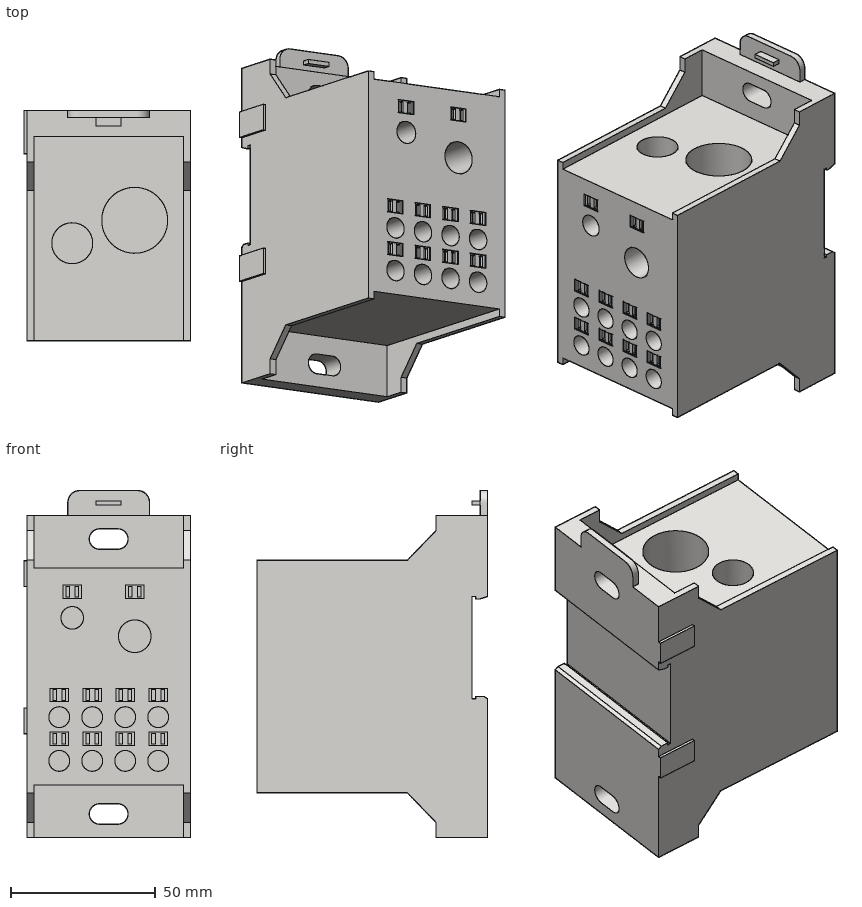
import cadquery as cq

overall_width = 57.7
clip_thickness = 1.0
body_width = overall_width - clip_thickness
body_depth = 79.8
body_height = 111.5
overall_height = 120.1
flange_depth = 17.9
flange_lip = 5.3
shoulder_depth = 27.8
block_inset = 15.5

wall = 2.4
end_recess = 18.1
rear_plate = 9.1
mount_slot_length = 13.3
mount_slot_width = 7.0
mount_slot_inset = 8.2

rail_depth = 5.3
rail_bottom = 48.0
rail_top = 83.4
rail_lip = 0.8
rail_groove = 1.2
rail_lead_in = 1.2
hook_lead_in = 2.6

tab_width = 28.4
tab_thickness = 2.5
tab_radius = 4.2
grip_width = 8.7
grip_height = 1.5
grip_reach = 2.9
grip_drop = 4.3

clip_depth = 15.1
clip_height = 9.0
clip_bottoms = (35.9, 86.9)

main_terminals = (
    (-12.6, 14.2, -46.0, 30.0, 7.8, 76.0),
    (9.0, 22.8, -38.1, 30.0, 11.3, 69.7),
)
main_label_z = 85.0
screw_hole_depth = 24.0

branch_columns = 4
branch_pitch = 11.4
branch_hole = 7.2
branch_rows = (26.5, 41.7)
branch_label_rise = 7.7

label_width = 6.4
label_height = 4.6
label_depth = 0.6
label_slot_width = 1.3
label_slot_height = 3.7
label_slot_offset = 1.6
label_slot_depth = 1.8


def block(x_min, x_max, y_min, y_max, z_min, z_max):
    size = (x_max - x_min, y_max - y_min, z_max - z_min)
    return cq.Workplane("XY").box(*size, centered=False).translate((x_min, y_min, z_min))


def front_plane(y):
    """Sketch plane at depth y: local x is X, local y is Z, extrusion is toward -Y."""
    return cq.Workplane("XZ", origin=(0, y, 0))


def housing():
    profile = [
        (0, 0),
        (-flange_depth, 0),
        (-flange_depth, flange_lip),
        (-shoulder_depth, block_inset),
        (-body_depth, block_inset),
        (-body_depth, body_height - block_inset),
        (-shoulder_depth, body_height - block_inset),
        (-flange_depth, body_height - flange_lip),
        (-flange_depth, body_height),
        (0, body_height),
        (0, rail_top),
        (-hook_lead_in, rail_top - rail_lip),
        (-rail_depth + rail_groove, rail_top - rail_lip),
        (-rail_depth + rail_groove, rail_top),
        (-rail_depth, rail_top),
        (-rail_depth, rail_bottom),
        (-rail_depth + rail_groove, rail_bottom),
        (-rail_depth + rail_groove, rail_bottom + rail_lip),
        (-rail_lead_in, rail_bottom + rail_lip),
        (0, rail_bottom),
    ]
    return cq.Workplane("YZ").polyline(profile).close().extrude(body_width / 2, both=True)


def end_recesses():
    half_width = body_width / 2 - wall
    lower = block(-half_width, half_width, -body_depth, -rear_plate, 0, end_recess)
    return lower.union(lower.translate((0, 0, body_height - end_recess)))


def mounting_slots():
    centres = [(0, mount_slot_inset), (0, body_height - mount_slot_inset)]
    return front_plane(0).pushPoints(centres).slot2D(mount_slot_length, mount_slot_width).extrude(rear_plate)


def release_tab():
    half_width = tab_width / 2
    tab = block(-half_width, half_width, -tab_thickness, 0, body_height, overall_height)
    tab = tab.edges("|Y and >Z").fillet(tab_radius)
    grip = cq.Workplane("XY").box(grip_width, grip_reach, grip_height)
    return tab.union(grip.translate((0, -tab_thickness - grip_reach / 2, overall_height - grip_drop)))


def side_clip(bottom):
    outer_wall = -body_width / 2
    return block(outer_wall - clip_thickness, outer_wall, -clip_depth, 0, bottom, bottom + clip_height)


def screw_hole(x, z, diameter, depth):
    return front_plane(-body_depth + depth).center(x, z).circle(diameter / 2).extrude(depth)


def wire_hole(x, y, diameter, depth):
    top = body_height - end_recess
    return cq.Workplane("XY", origin=(x, y, top - depth)).circle(diameter / 2).extrude(depth)


def label_window(x, z):
    pocket = front_plane(-body_depth + label_depth).center(x, z)
    pocket = pocket.rect(label_width, label_height).extrude(label_depth)
    slots = front_plane(-body_depth + label_slot_depth).center(x, z)
    slots = slots.pushPoints([(-label_slot_offset, 0), (label_slot_offset, 0)])
    return pocket.union(slots.rect(label_slot_width, label_slot_height).extrude(label_slot_depth))


result = housing().cut(end_recesses()).cut(mounting_slots()).union(release_tab())

for clip_bottom in clip_bottoms:
    result = result.union(side_clip(clip_bottom))

for x, wire_diameter, wire_y, wire_depth, screw_diameter, screw_z in main_terminals:
    result = result.cut(wire_hole(x, wire_y, wire_diameter, wire_depth))
    result = result.cut(screw_hole(x, screw_z, screw_diameter, screw_hole_depth))
    result = result.cut(label_window(x, main_label_z))

for row_z in branch_rows:
    for column in range(branch_columns):
        x = (column - (branch_columns - 1) / 2) * branch_pitch
        result = result.cut(screw_hole(x, row_z, branch_hole, screw_hole_depth))
        result = result.cut(label_window(x, row_z + branch_label_rise))